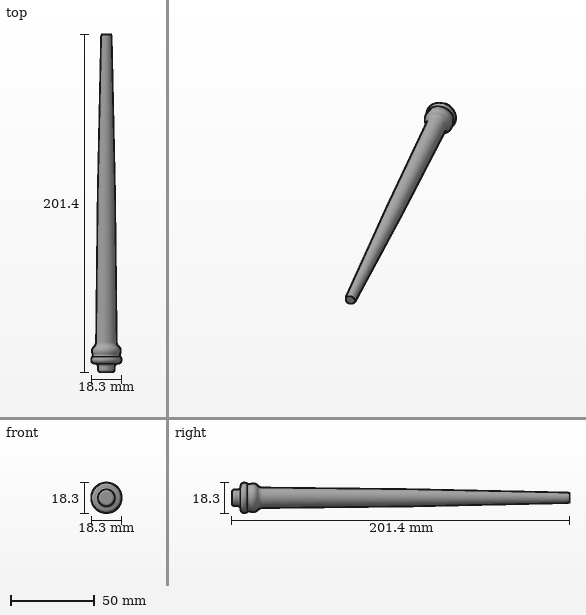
import cadquery as cq
import math

total_length = 201.4

tenon_radius = 10.0 / 2
tenon_end_round = 1.6
tenon_root_fillet = 1.6

shoulder_y = 5.0
large_bead_radius = 2.5
large_collar_radius = 18.3 / 2
large_bead_top_y = 9.3

small_bead_start_y = 11.0
small_bead_start_radius = 16.7 / 2
small_bead_crest_y = 13.0
small_bead_crest_radius = 8.7
small_bead_end_y = 15.3
small_bead_end_radius = 7.5
neck_depth = 0.16
cove_sag = 0.3

rod_start_y = 17.7
rod_start_radius = 6.2
taper_change_y = 106.3
taper_change_radius = 5.2
tip_radius = 3.2
tip_chamfer_radial = 0.5
tip_chamfer_length = 1.5

diagonal = math.sqrt(0.5)

bead_center_radius = large_collar_radius - large_bead_radius
bead_center_y = shoulder_y + large_bead_radius
bead_top_radius = bead_center_radius + math.sqrt(
    large_bead_radius**2 - (large_bead_top_y - bead_center_y) ** 2
)

end_face_radius = tenon_radius - tenon_end_round
end_round_middle = (
    end_face_radius + tenon_end_round * diagonal,
    tenon_end_round * (1 - diagonal),
)
root_outer_radius = tenon_radius + tenon_root_fillet
root_start_y = shoulder_y - tenon_root_fillet
root_middle = (
    root_outer_radius - tenon_root_fillet * diagonal,
    root_start_y + tenon_root_fillet * diagonal,
)

neck_middle = (
    (bead_top_radius + small_bead_start_radius) / 2 - neck_depth,
    (large_bead_top_y + small_bead_start_y) / 2,
)
cove_middle = (
    (small_bead_end_radius + rod_start_radius) / 2 - cove_sag,
    (small_bead_end_y + rod_start_y) / 2,
)

profile = (
    cq.Workplane("XY")
    .lineTo(end_face_radius, 0)
    .threePointArc(end_round_middle, (tenon_radius, tenon_end_round))
    .lineTo(tenon_radius, root_start_y)
    .threePointArc(root_middle, (root_outer_radius, shoulder_y))
    .lineTo(bead_center_radius, shoulder_y)
    .threePointArc((large_collar_radius, bead_center_y), (bead_top_radius, large_bead_top_y))
    .threePointArc(neck_middle, (small_bead_start_radius, small_bead_start_y))
    .threePointArc(
        (small_bead_crest_radius, small_bead_crest_y),
        (small_bead_end_radius, small_bead_end_y),
    )
    .threePointArc(cove_middle, (rod_start_radius, rod_start_y))
    .lineTo(taper_change_radius, taper_change_y)
    .lineTo(tip_radius, total_length - tip_chamfer_length)
    .lineTo(tip_radius - tip_chamfer_radial, total_length)
    .lineTo(0, total_length)
    .close()
)

result = profile.revolve(360, (0, 0), (0, 1))